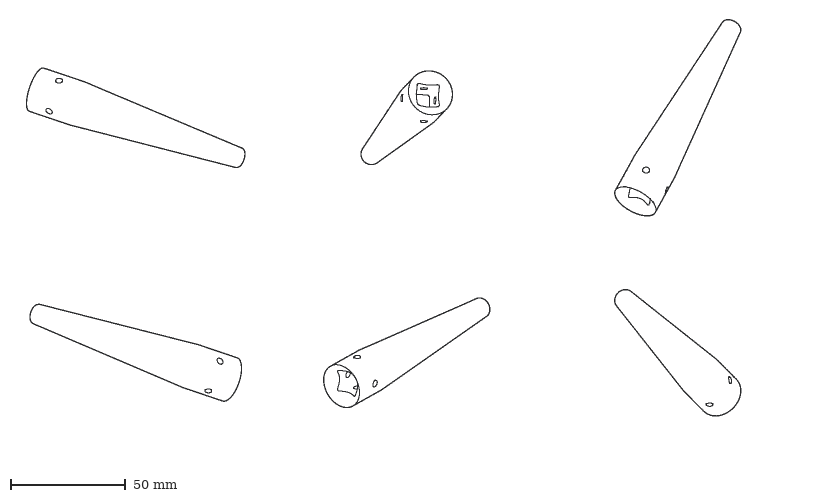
import cadquery as cq

length = 100.0
collar_length = 20.0
collar_radius = 10.0
tip_radius = 4.4
tip_fillet = 2.0

socket_width = 10.0
socket_corner_radius = 1.0
socket_depth = 20.0
lead_in_depth = collar_radius

pin_diameter = 3.0
pin_position = 11.0


def make_body():
    profile = (
        cq.Workplane("XZ")
        .polyline([
            (0, 0),
            (0, collar_radius),
            (collar_length, collar_radius),
            (length, tip_radius),
            (length, 0),
        ])
        .close()
    )
    body = profile.revolve(360, (0, 0, 0), (1, 0, 0))
    return body.faces(">X").edges().fillet(tip_fillet)


def make_socket():
    return (
        cq.Workplane("YZ")
        .rect(socket_width, socket_width)
        .extrude(socket_depth)
        .edges("|X")
        .fillet(socket_corner_radius)
    )


def make_lead_in():
    return (
        cq.Workplane("XZ")
        .polyline([(0, 0), (0, collar_radius), (lead_in_depth, 0)])
        .close()
        .revolve(360, (0, 0, 0), (1, 0, 0))
    )


def make_pin_hole(plane):
    return (
        cq.Workplane(plane)
        .center(pin_position, 0)
        .circle(pin_diameter / 2)
        .extrude(collar_radius, both=True)
    )


result = make_body().cut(make_socket()).cut(make_lead_in())
for hole_plane in ("XY", "XZ"):
    result = result.cut(make_pin_hole(hole_plane))